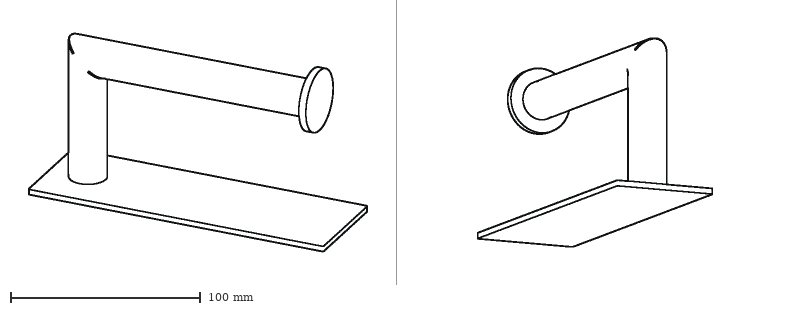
import cadquery as cq

plate_length = 171.0
plate_width = 55.9
plate_thickness = 3.0
plate_corner_radius = 1.0

total_height = 90.3
rod_radius = 10.3
mitre_chamfer = 0.5
post_inset = 21.7

disc_radius = 17.3
disc_thickness = 4.1
disc_end_inset = 15.0

post_x = -plate_length / 2 + post_inset
arm_z = total_height - disc_radius
disc_outer_x = plate_length / 2 - disc_end_inset
disc_inner_x = disc_outer_x - disc_thickness


def make_plate():
    plate = cq.Workplane("XY").box(
        plate_length, plate_width, plate_thickness, centered=(True, True, False)
    )
    return plate.edges("|Z").fillet(plate_corner_radius)


def make_rod():
    """Sweep a circle along an L-shaped path with a mitred corner, then ease the mitre edge."""
    path = (
        cq.Workplane("XZ")
        .moveTo(post_x, plate_thickness)
        .lineTo(post_x, arm_z)
        .lineTo(disc_inner_x, arm_z)
    )
    profile = cq.Workplane("XY", origin=(post_x, 0, plate_thickness)).circle(rod_radius)
    rod = profile.sweep(path, transition="right")
    return rod.edges("%ELLIPSE").chamfer(mitre_chamfer)


def make_disc():
    return (
        cq.Workplane("YZ", origin=(disc_inner_x, 0, arm_z))
        .circle(disc_radius)
        .extrude(disc_thickness)
    )


result = make_plate().union(make_rod()).union(make_disc())